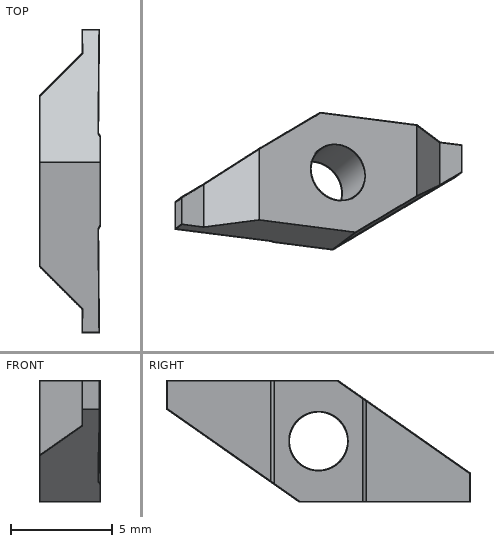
import cadquery as cq
import math

thickness = 3.0
length = 15.0
height = 6.0

tip_height = 1.41
slant_angle = 35.0

tip_length = 1.17
tip_inset = 2.1
tip_width = 0.85
relief_angle = 0.5
middle_half_length = 2.2
ramp_angle = 30.0

hole_diameter = 2.9

half_thickness = thickness / 2
half_length = length / 2
half_height = height / 2


def slanted_outline():
    """Six-sided YZ outline, extruded through the thickness."""
    slant_run = (height - tip_height) / math.tan(math.radians(slant_angle))
    corner_y = half_length - slant_run
    tip_z = half_height - tip_height
    half_outline = [
        (-half_length, tip_z),
        (-half_length, half_height),
        (corner_y, half_height),
    ]
    opposite_half = [(-y, -z) for y, z in half_outline]
    return (
        cq.Workplane("YZ")
        .polyline(half_outline + opposite_half)
        .close()
        .extrude(half_thickness, both=True)
    )


def stepped_profile():
    """XY profile with tips, bevels, ramps and reliefs, extruded through the height."""
    tip_inner_x = -half_thickness + tip_inset
    tip_outer_x = tip_inner_x + tip_width
    bevel_outer_y = half_length - tip_length
    ramp_slope = math.tan(math.radians(ramp_angle))
    relief_slope = math.tan(math.radians(relief_angle))

    bevel_run = tip_inset + relief_slope * tip_length

    middle_drop = half_thickness - tip_outer_x + relief_slope * (half_length - middle_half_length)
    ramp_length = middle_drop / (ramp_slope + relief_slope)

    upper_half = [
        (half_thickness, middle_half_length),
        (half_thickness - ramp_slope * ramp_length, middle_half_length + ramp_length),
        (tip_outer_x, half_length),
        (tip_inner_x, half_length),
        (-half_thickness + bevel_run, bevel_outer_y),
        (-half_thickness, bevel_outer_y - bevel_run),
    ]
    lower_half = [(x, -y) for x, y in reversed(upper_half)]
    return (
        cq.Workplane("XY")
        .polyline(upper_half + lower_half)
        .close()
        .extrude(half_height, both=True)
    )


def screw_hole():
    """Plain hole along X, right through the middle of the part."""
    return (
        cq.Workplane("YZ")
        .workplane(offset=-half_thickness)
        .circle(hole_diameter / 2)
        .extrude(thickness)
    )


result = slanted_outline().intersect(stepped_profile()).cut(screw_hole())